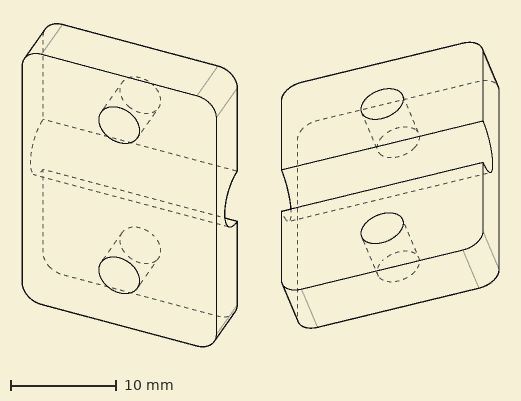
import cadquery as cq

height = 30.0
width = height * 2 / 3
thickness = height / 6
corner_radius = height / 15

hole_diameter = 4.2
hole_spacing = 18.0

groove_radius = 3.0


def make_plate():
    plate = cq.Workplane("XY").box(width, thickness, height)
    return plate.edges("|Y").fillet(corner_radius)


def make_holes():
    return (
        cq.Workplane("XZ", origin=(0, thickness / 2, 0))
        .pushPoints([(0, -hole_spacing / 2), (0, hole_spacing / 2)])
        .circle(hole_diameter / 2)
        .extrude(thickness)
    )


def make_groove():
    return (
        cq.Workplane("YZ", origin=(-width / 2, thickness / 2, 0))
        .circle(groove_radius)
        .extrude(width)
    )


result = make_plate().cut(make_holes()).cut(make_groove())